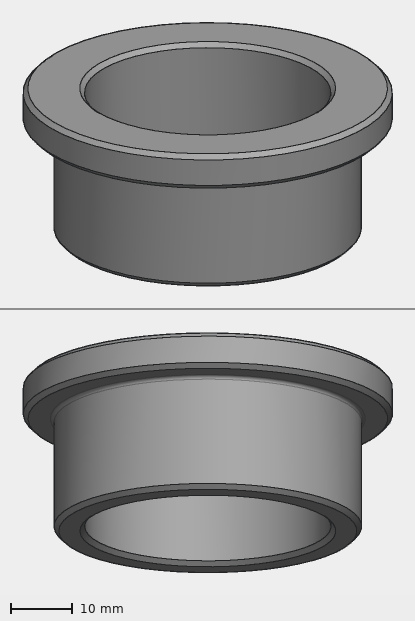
import cadquery as cq

flange_diameter = 60.0
body_diameter = 50.0
bore_diameter = 40.0
total_height = 25.0
flange_thickness = 6.0
edge_chamfer = 0.8
neck_fillet = 0.6

flange_radius = flange_diameter / 2
body_radius = body_diameter / 2
bore_radius = bore_diameter / 2
flange_bottom = total_height - flange_thickness

section = (
    cq.Workplane("XZ")
    .moveTo(bore_radius + edge_chamfer, 0)
    .lineTo(body_radius - edge_chamfer, 0)
    .lineTo(body_radius, edge_chamfer)
    .lineTo(body_radius, flange_bottom - neck_fillet)
    .radiusArc((body_radius + neck_fillet, flange_bottom), neck_fillet)
    .lineTo(flange_radius - edge_chamfer, flange_bottom)
    .lineTo(flange_radius, flange_bottom + edge_chamfer)
    .lineTo(flange_radius, total_height - edge_chamfer)
    .lineTo(flange_radius - edge_chamfer, total_height)
    .lineTo(bore_radius + edge_chamfer, total_height)
    .lineTo(bore_radius, total_height - edge_chamfer)
    .lineTo(bore_radius, edge_chamfer)
    .close()
)

result = section.revolve(360, (0, 0, 0), (0, 1, 0))